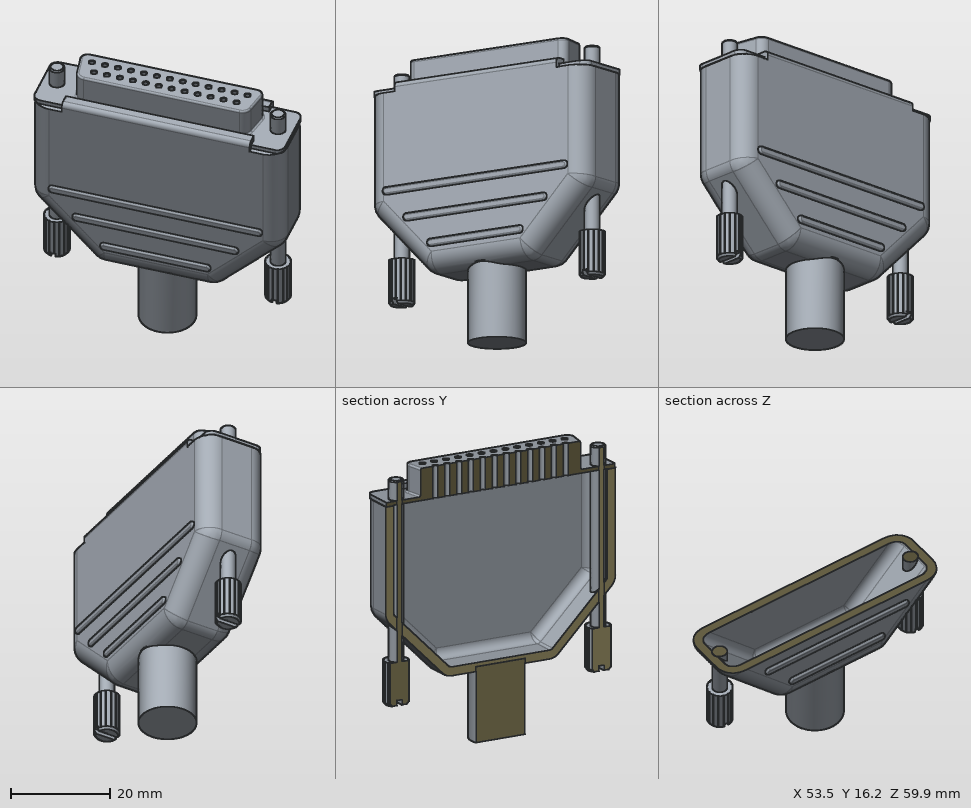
import cadquery as cq
import math


hood_width = 53.5
hood_depth = 15.05
hood_bottom = 15.0
hood_rim = 53.0
hood_bottom_width = 25.2
hood_slope_angle = 45.0
hood_corner_radius = 3.0
hood_edge_radius = 4.0
hood_wall = 2.0

lip_length = 39.9
lip_top = 55.05
lip_wall = 1.1
lip_overhang = 2.7
lip_radius = 1.0

rib_lengths = (45.4, 35.3, 23.5)
rib_top_centre = 32.7
rib_pitch = 6.0
rib_height = 1.6
rib_edge_radius = 0.35
overall_depth = 16.2
rib_projection = (overall_depth - hood_depth) / 2

cable_diameter = 11.75
cable_seat_depth = 1.0

flange_width = 53.2
flange_depth = hood_depth - 2 * lip_wall
flange_corner_radius = 1.7
flange_top = 53.9
shell_top = 59.9
shell_depth = 7.9
shell_mean_width = 37.8
shell_side_angle = 10.0
shell_wide_corner_radius = 1.55
shell_narrow_corner_radius = 2.0
shell_rim_radius = 0.4
shell_root_radius = 0.35
contact_diameter = 1.1
contact_chamfer = 0.1
contact_chamfer_angle = 90
contact_pitch = 2.75
contact_row_spacing = 2.9
wide_row_count = 13
narrow_row_count = 12

screw_spacing = 46.95
screw_diameter = 3.1
screw_tip = 58.05
screw_tip_chamfer = 0.3
head_diameter = 5.3
head_bottom = 10.65
head_top = 19.9
head_chamfer_height = 0.55
head_chamfer_width = 0.4
slot_width = 1.1
slot_depth = 1.1
groove_count = 15
groove_width = 0.2
groove_depth = 0.1


def tapered_block(inset):
    """Hood outline, moved inward by inset on every side but the open rim, with rounded edges."""
    half_width = hood_width / 2 - inset
    bottom = hood_bottom + inset
    slope = math.radians(hood_slope_angle)
    half_bottom = hood_bottom_width / 2 - inset * math.tan(slope / 2)
    slope_top = bottom + (half_width - half_bottom) * math.tan(slope)
    outline = [
        (-half_width, hood_rim),
        (-half_width, slope_top),
        (-half_bottom, bottom),
        (half_bottom, bottom),
        (half_width, slope_top),
        (half_width, hood_rim),
    ]
    block = cq.Workplane("XZ").polyline(outline).close().extrude(hood_depth / 2 - inset, both=True)
    block = block.edges("|Y").edges("not >Z").fillet(hood_corner_radius - inset)
    return block.faces("<Y or >Y").edges("not >Z").fillet(hood_edge_radius - inset)


def front_lip():
    """L-shaped lip that stands on the front wall and reaches over the connector flange."""
    face = -hood_depth / 2
    outline = [
        (face, hood_rim),
        (face + lip_wall, hood_rim),
        (face + lip_wall, flange_top),
        (face + lip_overhang, flange_top),
        (face + lip_overhang, lip_top),
        (face, lip_top),
    ]
    lip = cq.Workplane("YZ").polyline(outline).close().extrude(lip_length / 2, both=True)
    return lip.edges("|X and <Y and >Z").fillet(lip_radius)


def front_rib(index, length):
    """Round-ended grip rib on the front face; ribs are numbered from the top."""
    rib_centre = rib_top_centre - index * rib_pitch
    rib = (
        cq.Workplane("XZ", origin=(0, -hood_depth / 2, rib_centre))
        .slot2D(length, rib_height)
        .extrude(rib_projection)
    )
    return rib.faces("<Y").edges().fillet(rib_edge_radius)


def screw_holes(bottom, top):
    """Cylinders the size of the screw shanks, at both screw places."""
    return (
        cq.Workplane("XY", origin=(0, 0, bottom))
        .rarray(screw_spacing, 0.6, 2, 1)
        .circle(screw_diameter / 2)
        .extrude(top - bottom)
    )


def make_hood():
    hood = tapered_block(0).cut(tapered_block(hood_wall))
    front_features = [front_lip()]
    for index, length in enumerate(rib_lengths):
        front_features.append(front_rib(index, length))
    for feature in front_features:
        hood = hood.union(feature).union(feature.mirror("XZ"))
    return hood.cut(screw_holes(hood_bottom, hood_rim)).cut(make_cable())


def make_cable():
    """Plain round cable, its end seated in a blind recess in the hood floor."""
    return cq.Workplane("XY").circle(cable_diameter / 2).extrude(hood_bottom + cable_seat_depth)


def make_connector():
    flange = (
        cq.Workplane("XY", origin=(0, 0, hood_rim))
        .rect(flange_width, flange_depth)
        .extrude(flange_top - hood_rim)
        .edges("|Z")
        .fillet(flange_corner_radius)
    )

    taper = shell_depth / 2 * math.tan(math.radians(shell_side_angle))
    wide = shell_mean_width / 2 + taper
    narrow = shell_mean_width / 2 - taper
    half_depth = shell_depth / 2
    shell = (
        cq.Workplane("XY", origin=(0, 0, flange_top))
        .polyline([(-wide, half_depth), (-narrow, -half_depth), (narrow, -half_depth), (wide, half_depth)])
        .close()
        .extrude(shell_top - flange_top)
        .edges("|Z and >Y")
        .fillet(shell_wide_corner_radius)
        .edges("|Z and <Y")
        .fillet(shell_narrow_corner_radius)
        .faces(">Z")
        .edges()
        .fillet(shell_rim_radius)
    )
    root_box = cq.selectors.BoxSelector(
        (-wide, -half_depth - shell_root_radius, flange_top - shell_root_radius),
        (wide, half_depth + shell_root_radius, flange_top + shell_root_radius),
    )
    connector = flange.union(shell).edges(root_box).fillet(shell_root_radius)

    contact_rows = ((wide_row_count, contact_row_spacing / 2), (narrow_row_count, -contact_row_spacing / 2))
    for count, row_y in contact_rows:
        connector = (
            connector.faces(">Z")
            .workplane(origin=(0, row_y, shell_top))
            .rarray(contact_pitch, 0.6, count, 1)
            .cskHole(contact_diameter, contact_diameter + 2 * contact_chamfer, contact_chamfer_angle)
        )
    return connector.cut(screw_holes(hood_rim, flange_top))


def make_screw():
    """Jack screw on the Z axis, with a grooved and slotted head at its lower end."""
    shank = (
        cq.Workplane("XY", origin=(0, 0, head_top))
        .circle(screw_diameter / 2)
        .extrude(screw_tip - head_top)
        .faces(">Z")
        .chamfer(screw_tip_chamfer)
    )
    head = (
        cq.Workplane("XY", origin=(0, 0, head_bottom))
        .circle(head_diameter / 2)
        .extrude(head_top - head_bottom)
        .faces("<Z")
        .chamfer(head_chamfer_height, head_chamfer_width)
    )
    grooves = (
        cq.Workplane("XY", origin=(0, 0, head_top))
        .polarArray(head_diameter / 2, 0, 360, groove_count)
        .rect(2 * groove_depth, groove_width)
        .extrude(head_bottom + head_chamfer_height - head_top)
    )
    slot = cq.Workplane("XY", origin=(0, 0, head_bottom)).box(
        slot_width, head_diameter, slot_depth, centered=(True, True, False)
    )
    return head.cut(grooves).cut(slot).union(shank)


def make_screws():
    """One screw at each end of the connector, turned so that a groove faces outward."""
    screws = cq.Workplane("XY")
    for side_x, turn in ((screw_spacing / 2, 0), (-screw_spacing / 2, 180)):
        screw = make_screw().rotate((0, 0, 0), (0, 0, 1), turn)
        screws = screws.add(screw.translate((side_x, 0, 0)))
    return screws


hood = make_hood()
cable = make_cable()
connector = make_connector()
screws = make_screws()

result = cq.Compound.makeCompound([hood.val(), cable.val(), connector.val(), *screws.vals()])